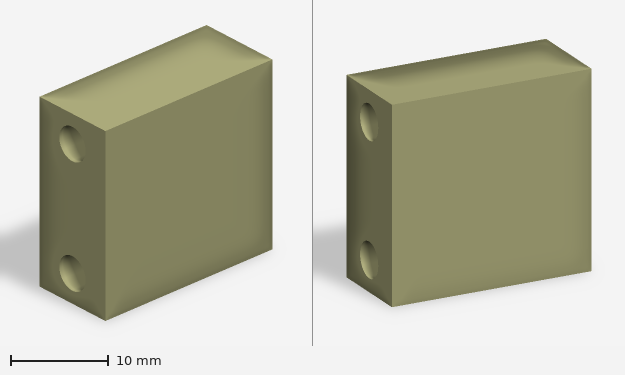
import cadquery as cq

width = 10.0
length = 23.0
height = 22.0

hole_diameter = 4.0
hole_spacing = 15.0

block = cq.Workplane("XY").box(width, length, height)

result = (
    block.faces("<Y")
    .workplane(centerOption="CenterOfBoundBox")
    .rarray(0.23, hole_spacing, 1, 2)
    .hole(hole_diameter)
)